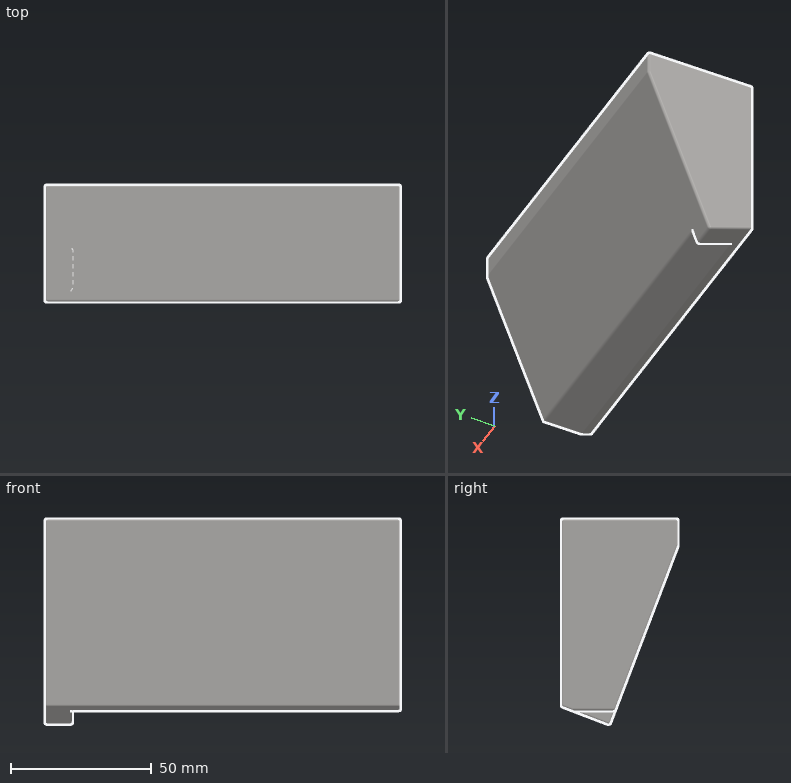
import cadquery as cq
import math

length = 126.8
depth = 42.0
height = 73.4
edge_radius = 1.0

slope_angle = math.radians(20.9)
back_wall_height = 9.6
foot_length = 10.1
foot_drop = 4.8

tip_z = edge_radius * (1 - math.cos(slope_angle) - math.sin(slope_angle))
back_wall_bottom = height - back_wall_height
tip_y = depth - (back_wall_bottom - tip_z) * math.tan(slope_angle)
front_bottom = tip_z + tip_y * math.tan(slope_angle)

flat_front_y = (front_bottom - foot_drop) / math.tan(slope_angle)
flat_back_y = tip_y + (foot_drop - tip_z) * math.tan(slope_angle)


def rounded_prism(bottom_points, prism_length):
    """Extrude the side profile along X and round all of its edges."""
    upper_points = [(depth, back_wall_bottom), (depth, height), (0, height), (0, front_bottom)]
    profile = cq.Workplane("YZ").polyline(upper_points + bottom_points).close()
    return profile.extrude(prism_length).edges().fillet(edge_radius)


body = rounded_prism([(flat_front_y, foot_drop), (flat_back_y, foot_drop)], length)
foot = rounded_prism([(tip_y, tip_z)], foot_length)

result = body.union(foot)